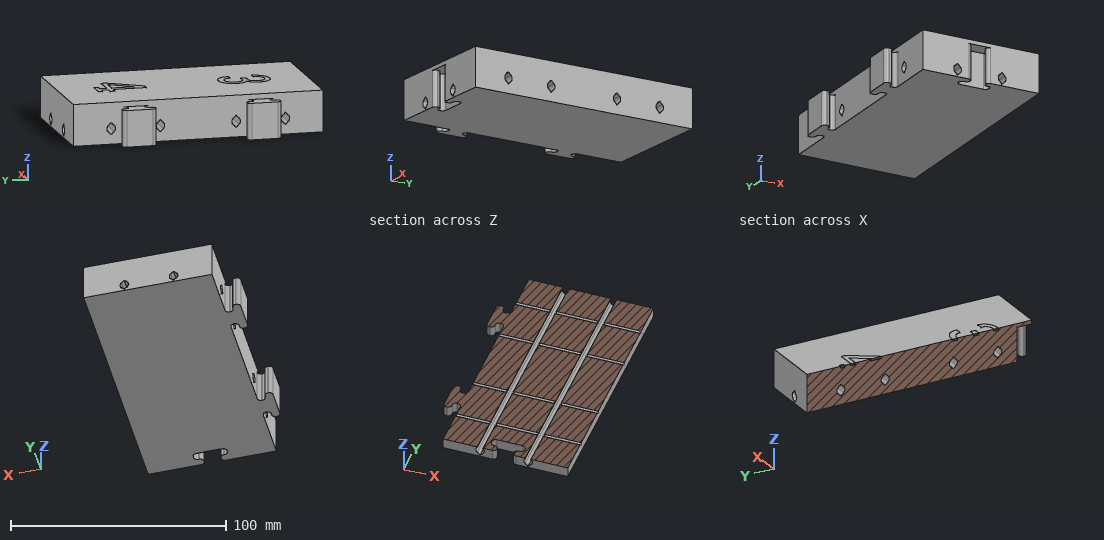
import cadquery as cq
import math

block_width = 61.7
block_length = 120.0
block_height = 20.0

key_pitch = block_length / 2
socket_offset = 30.2
key_length = 7.8
key_height = 17.5
head_width = 16.2
head_thickness = 4.0
neck_width = 8.2
head_radius = 1.8
neck_radius = 1.7
socket_headroom = 0.4
socket_height = key_height + socket_headroom

bore_diameter = 4.1
bore_spacing = 23.6
cross_bore_height = 7.5
long_bore_height = 3.7
bore_tip_height = bore_diameter / 2 * math.sqrt(2)
bore_tangent = bore_diameter / 2 / math.sqrt(2)

inlay_depth = 1.0
four_corner = (39.1, 42.0)
three_corner = (37.9, -17.6)

key_positions = [-key_pitch / 2, key_pitch / 2]


def make_connector(height):
    """T prism whose root lies on x = 0 and whose head points along -X."""
    head_root = key_length - head_thickness
    half_head = head_width / 2
    half_neck = neck_width / 2
    head_side = half_head - head_radius
    neck_foot = half_neck + neck_radius
    return (
        cq.Workplane("XY")
        .lineTo(0, neck_foot)
        .radiusArc((-neck_radius, half_neck), neck_radius)
        .lineTo(neck_radius - head_root, half_neck)
        .radiusArc((-head_root, neck_foot), neck_radius)
        .lineTo(-head_root, head_side)
        .radiusArc((-head_root - head_radius, half_head), -head_radius)
        .lineTo(head_radius - key_length, half_head)
        .radiusArc((-key_length, head_side), -head_radius)
        .lineTo(-key_length, 0)
        .mirrorX()
        .extrude(height)
    )


def make_bore(plane, center, length):
    """Bore along the plane's normal: a circle whose top and bottom run out in 45 degree tips."""
    return (
        cq.Workplane(plane)
        .center(*center)
        .moveTo(0, bore_tip_height)
        .lineTo(bore_tangent, bore_tangent)
        .threePointArc((bore_diameter / 2, 0), (bore_tangent, -bore_tangent))
        .lineTo(0, -bore_tip_height)
        .lineTo(-bore_tangent, -bore_tangent)
        .threePointArc((-bore_diameter / 2, 0), (-bore_tangent, bore_tangent))
        .close()
        .extrude(length)
    )


def place_inlay(upright, corner):
    """Turn an upright numeral by half a turn and set it flush with the block's top."""
    turned = upright.rotate((0, 0, 0), (0, 0, 1), 180)
    return turned.translate((*corner, block_height - inlay_depth))


def make_four():
    outline = [
        (7.8, 0), (16.3, 0), (16.3, 1.9), (13.5, 2.3), (13.5, 5.4), (17.0, 5.4), (17.0, 7.8),
        (13.5, 7.8), (13.5, 23.6), (10.1, 23.6), (0, 7.8), (0, 5.4), (10.4, 5.4), (10.4, 2.3), (7.8, 1.9),
    ]
    counter = [(10.4, 7.8), (10.4, 18.6), (3.1, 7.8)]
    numeral = cq.Workplane("XY").polyline(outline).close().extrude(inlay_depth)
    numeral = numeral.cut(cq.Workplane("XY").polyline(counter).close().extrude(inlay_depth))
    return place_inlay(numeral, four_corner)


def make_three():
    numeral = (
        cq.Workplane("XY")
        .moveTo(0, 6.6)
        .threePointArc((1.8, 1.9), (7.0, 0))
        .threePointArc((12.7, 1.9), (14.8, 6.6))
        .threePointArc((13.9, 10.1), (11.2, 12.4))
        .threePointArc((13.8, 15.2), (14.3, 18.0))
        .threePointArc((12.4, 22.7), (7.3, 24.3))
        .threePointArc((2.2, 22.4), (0, 17.8))
        .lineTo(3.1, 17.8)
        .threePointArc((4.4, 21.1), (7.2, 22.1))
        .threePointArc((10.2, 20.9), (11.3, 17.3))
        .threePointArc((10.7, 14.9), (8.6, 13.9))
        .lineTo(4.7, 13.9)
        .lineTo(4.7, 11.3)
        .lineTo(8.6, 11.3)
        .threePointArc((10.8, 9.8), (11.6, 6.7))
        .threePointArc((10.4, 4.1), (7.3, 2.6))
        .threePointArc((4.4, 3.7), (3.1, 6.6))
        .close()
        .extrude(inlay_depth)
    )
    return place_inlay(numeral, three_corner)


def make_block(inlays):
    block = cq.Workplane("XY").box(
        block_width, block_length, block_height, centered=(False, True, False)
    )

    for key_y in key_positions:
        block = block.union(make_connector(key_height).translate((0, key_y, 0)))

    socket = make_connector(socket_height).rotate((0, 0, 0), (0, 0, 1), -90)
    block = block.cut(socket.translate((socket_offset, -block_length / 2, 0)))

    for side in (-1, 1):
        bore_shift = side * bore_spacing / 2
        for key_y in key_positions:
            bore = make_bore("YZ", (key_y + bore_shift, cross_bore_height), block_width)
            block = block.cut(bore)
        bore = make_bore("XZ", (socket_offset + bore_shift, long_bore_height), block_length)
        block = block.cut(bore.translate((0, block_length / 2, 0)))

    for inlay in inlays:
        block = block.cut(inlay)
    return block


four = make_four()
three = make_three()
block = make_block([four, three])

result = cq.Compound.makeCompound([block.val(), four.val(), three.val()])